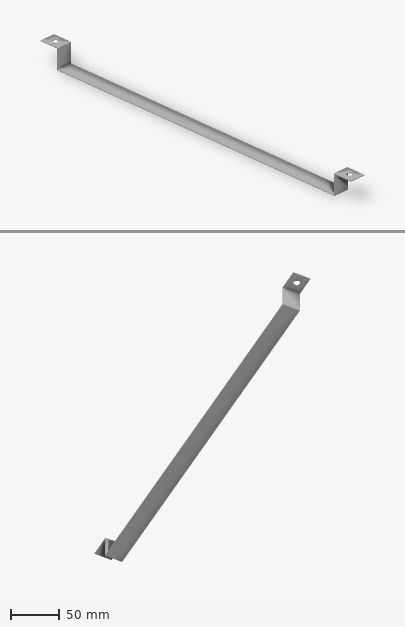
import cadquery as cq

length = 452.0
width = 20.0
height = 26.0
thickness = 1.0
tab_length = 25.0
hole_diameter = 7.0
hole_end_distance = 11.8

half_length = length / 2
web_outer = half_length - tab_length + thickness
web_center = web_outer - thickness / 2
tab_center = half_length - tab_length / 2
hole_x = half_length - hole_end_distance


def plate(x_size, z_size, x_center, z_bottom):
    """Full-width rectangular wall of the strip."""
    return (
        cq.Workplane("XY")
        .box(x_size, width, z_size, centered=(True, True, False))
        .translate((x_center, 0, z_bottom))
    )


result = plate(2 * web_outer, thickness, 0, 0)
for side in (-1, 1):
    web = plate(thickness, height, side * web_center, 0)
    tab = plate(tab_length, thickness, side * tab_center, height - thickness)
    result = result.union(web).union(tab)

hole_cutters = (
    cq.Workplane("XY")
    .workplane(offset=height - 2 * thickness)
    .pushPoints([(-hole_x, 0), (hole_x, 0)])
    .circle(hole_diameter / 2)
    .extrude(3 * thickness)
)
result = result.cut(hole_cutters)